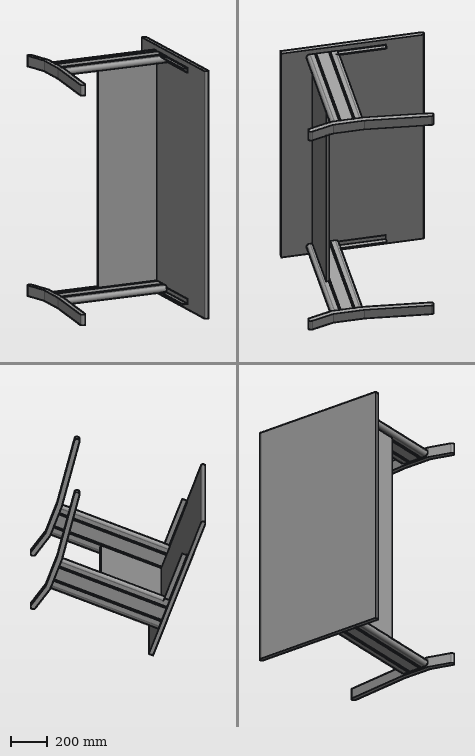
import cadquery as cq
import math


desk_length = 1400.0
desk_depth = 801.0
desk_height = 727.0
top_thickness = 25.0
top_underside = desk_height - top_thickness

frame_inset = 50.0
frame_levels = (frame_inset, desk_length - frame_inset)

post_back = 140.0
post_front = 320.0
post_thickness = 39.0
groove_width = 8.0
groove_depth = 4.0
groove_positions = (192.0, 270.0)

foot_width = 60.0
foot_thickness = 30.0
foot_top = 70.0
foot_radius = foot_thickness / 2
foot_underside = foot_top - foot_thickness
foot_front = 700.0
foot_back_rise = 4.0

arm_front = 584.0
arm_height = 31.0
arm_flange = 28.0
arm_sheet = 3.0
arm_drop = 1.0
tab_front = 315.0
tab_back = post_front - post_thickness / 2

panel_back = 172.0
panel_thickness = 18.0
panel_bottom = 349.0


def box(x_range, y_range, z_range):
    """Box between the given limits along each axis."""
    size = [high - low for low, high in (x_range, y_range, z_range)]
    corner = (x_range[0], y_range[0], z_range[0])
    return cq.Workplane("XY").box(*size, centered=False).translate(corner)


def table_top():
    """Board with a fully rounded front edge."""
    nose_start = desk_depth - top_thickness / 2
    return (
        cq.Workplane("XY")
        .moveTo(0, top_underside)
        .lineTo(nose_start, top_underside)
        .threePointArc((desk_depth, desk_height - top_thickness / 2), (nose_start, desk_height))
        .lineTo(0, desk_height)
        .close()
        .extrude(desk_length)
    )


def post(level):
    """Round-ended column with two grooves along each flat face."""
    length = top_underside - foot_top
    body = (
        cq.Workplane("XZ", origin=((post_back + post_front) / 2, top_underside, level))
        .slot2D(post_front - post_back, post_thickness)
        .extrude(length)
    )
    half = post_thickness / 2
    for x in groove_positions:
        x_range = (x - groove_width / 2, x + groove_width / 2)
        for low in (level - half, level + half - groove_depth):
            body = body.cut(box(x_range, (foot_top, top_underside), (low, low + groove_depth)))
    return body


def limb_slope(bend, end):
    """Downward angle of a foot limb from its bend to its end centre."""
    run = abs(end[0] - bend[0])
    drop = bend[1] - end[1]
    return math.atan2(drop, run) - math.asin(foot_radius / math.hypot(run, drop))


def foot(level):
    """Bar of constant thickness, flat under the post, with two sloping round-ended limbs."""
    back_end = (foot_radius, foot_radius + foot_back_rise)
    front_end = (foot_front - foot_radius, foot_radius)
    back_slope = limb_slope((post_back, foot_top), back_end)
    front_slope = limb_slope((post_front, foot_top), front_end)

    def on_end(centre, angle):
        return (
            centre[0] + foot_radius * math.cos(angle),
            centre[1] + foot_radius * math.sin(angle),
        )

    quarter = math.pi / 2
    back_mitre = foot_thickness * math.tan(back_slope / 2)
    front_mitre = foot_thickness * math.tan(front_slope / 2)
    return (
        cq.Workplane("XY")
        .moveTo(post_back, foot_top)
        .lineTo(post_front, foot_top)
        .lineTo(*on_end(front_end, quarter - front_slope))
        .threePointArc(on_end(front_end, -front_slope), on_end(front_end, -quarter - front_slope))
        .lineTo(post_front - front_mitre, foot_underside)
        .lineTo(post_back + back_mitre, foot_underside)
        .lineTo(*on_end(back_end, 3 * quarter + back_slope))
        .threePointArc(on_end(back_end, math.pi + back_slope), on_end(back_end, quarter + back_slope))
        .close()
        .extrude(foot_width / 2, both=True)
        .translate((0, 0, level))
    )


def arm(level, outward):
    """Angle bracket on the outer side of a leg; outward is +1 or -1 along Z."""
    def z_span(first, second):
        return tuple(sorted((level + outward * first, level + outward * second)))

    arm_bottom = top_underside - arm_height
    tab_outer = post_thickness / 2
    plate_outer = tab_outer - arm_drop
    plate_y = (arm_bottom, top_underside)
    flange_y = (top_underside - arm_sheet, top_underside)
    arm_x = (tab_back, arm_front)

    tab = box((tab_back, tab_front), plate_y, z_span(0, tab_outer))
    plate = box(arm_x, plate_y, z_span(plate_outer - arm_sheet, plate_outer))
    flange = box(arm_x, flange_y, z_span(plate_outer - arm_flange, plate_outer))
    return tab.union(plate).union(flange)


def modesty_panel():
    """Upright board spanning the space between the two posts."""
    return box(
        (panel_back, panel_back + panel_thickness),
        (panel_bottom, top_underside),
        (frame_levels[0] + post_thickness / 2, frame_levels[1] - post_thickness / 2),
    )


result = table_top()
for level, outward in zip(frame_levels, (-1, 1)):
    result = result.union(post(level)).union(foot(level)).union(arm(level, outward))
result = result.union(modesty_panel())